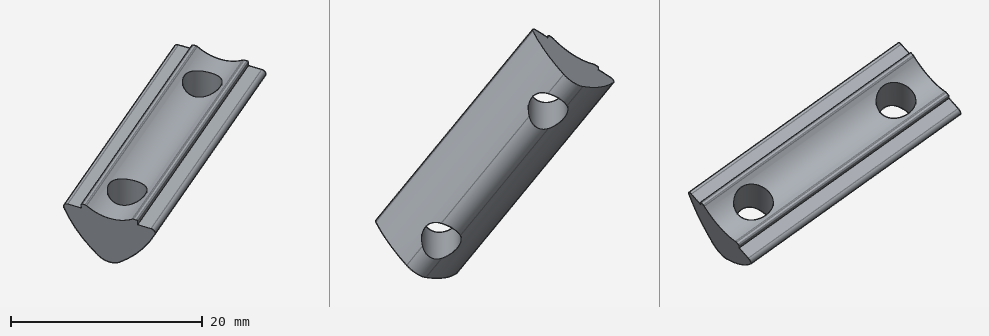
import cadquery as cq
import math

LENGTH = 28.0
WIDTH = 10.5
HEIGHT = 6.9

LEDGE_Z = 6.3
RAIL_HALF_WIDTH = 3.25
RAIL_CORNER_RADIUS = 0.17
CHANNEL_HALF_WIDTH = 2.7
CHANNEL_DEPTH = 0.87
CHANNEL_LIP_RADIUS = 0.28

NOSE_RADIUS = 1.95
FLANK_RADIUS = 14.0
SHOULDER_RADIUS = 0.48

HOLE_DIAMETER = 4.15
HOLE_SPACING = 19.0


def point_from(center, toward, distance):
    """Point at a distance from center in the direction of toward."""
    dx = toward[0] - center[0]
    dz = toward[1] - center[1]
    scale = distance / math.hypot(dx, dz)
    return center[0] + dx * scale, center[1] + dz * scale


def flank_center(nose, shoulder):
    """Center of the right flank arc, tangent to the nose and shoulder arcs."""
    to_nose = FLANK_RADIUS - NOSE_RADIUS
    to_shoulder = FLANK_RADIUS - SHOULDER_RADIUS
    dx = shoulder[0] - nose[0]
    dz = shoulder[1] - nose[1]
    gap = math.hypot(dx, dz)
    along = (to_nose**2 - to_shoulder**2 + gap**2) / (2 * gap)
    across = math.sqrt(to_nose**2 - along**2)
    return (
        nose[0] + (along * dx - across * dz) / gap,
        nose[1] + (along * dz + across * dx) / gap,
    )


def mirrored(point):
    return -point[0], point[1]


def make_body():
    """Wedge with a rounded nose, curved flanks and two flat ledges."""
    nose = (0.0, NOSE_RADIUS)
    shoulder = (WIDTH / 2 - SHOULDER_RADIUS, LEDGE_Z - SHOULDER_RADIUS)
    flank = flank_center(nose, shoulder)

    nose_end = point_from(flank, nose, FLANK_RADIUS)
    flank_end = point_from(flank, shoulder, FLANK_RADIUS)
    chord_middle = ((nose_end[0] + flank_end[0]) / 2, (nose_end[1] + flank_end[1]) / 2)
    flank_middle = point_from(flank, chord_middle, FLANK_RADIUS)
    shoulder_side = (WIDTH / 2, shoulder[1])
    ledge_end = (shoulder[0], LEDGE_Z)

    profile = (
        cq.Workplane("XZ")
        .moveTo(*mirrored(nose_end))
        .threePointArc((0, 0), nose_end)
        .threePointArc(flank_middle, flank_end)
        .threePointArc(shoulder_side, ledge_end)
        .lineTo(*mirrored(ledge_end))
        .threePointArc(mirrored(shoulder_side), mirrored(flank_end))
        .threePointArc(mirrored(flank_middle), mirrored(nose_end))
        .close()
    )
    return profile.extrude(LENGTH / 2, both=True)


def make_rails():
    """Raised band whose top is hollowed by the channel, leaving two rails."""
    base_z = HEIGHT / 2
    band = (
        cq.Workplane("XZ")
        .moveTo(-RAIL_HALF_WIDTH, base_z)
        .lineTo(RAIL_HALF_WIDTH, base_z)
        .lineTo(RAIL_HALF_WIDTH, HEIGHT)
        .lineTo(-RAIL_HALF_WIDTH, HEIGHT)
        .close()
        .extrude(LENGTH / 2, both=True)
    )
    return band.edges("|Y and >Z").fillet(RAIL_CORNER_RADIUS)


def make_channel():
    """Round bar that cuts the channel along the part."""
    radius = (CHANNEL_HALF_WIDTH**2 + CHANNEL_DEPTH**2) / (2 * CHANNEL_DEPTH)
    return (
        cq.Workplane("XZ")
        .center(0, HEIGHT - CHANNEL_DEPTH + radius)
        .circle(radius)
        .extrude(LENGTH / 2, both=True)
    )


def make_holes():
    return (
        cq.Workplane("XY")
        .pushPoints([(0, -HOLE_SPACING / 2), (0, HOLE_SPACING / 2)])
        .circle(HOLE_DIAMETER / 2)
        .extrude(HEIGHT)
    )


def round_channel_lips(body):
    """Soften the two edges where the channel meets the rail tops."""
    inner_zone = cq.selectors.BoxSelector(
        (-CHANNEL_HALF_WIDTH - RAIL_CORNER_RADIUS, -LENGTH, LEDGE_Z),
        (CHANNEL_HALF_WIDTH + RAIL_CORNER_RADIUS, LENGTH, HEIGHT + CHANNEL_DEPTH),
    )
    return body.edges("|Y").edges(inner_zone).fillet(CHANNEL_LIP_RADIUS)


body = make_body().union(make_rails()).cut(make_channel())
result = round_channel_lips(body).cut(make_holes())